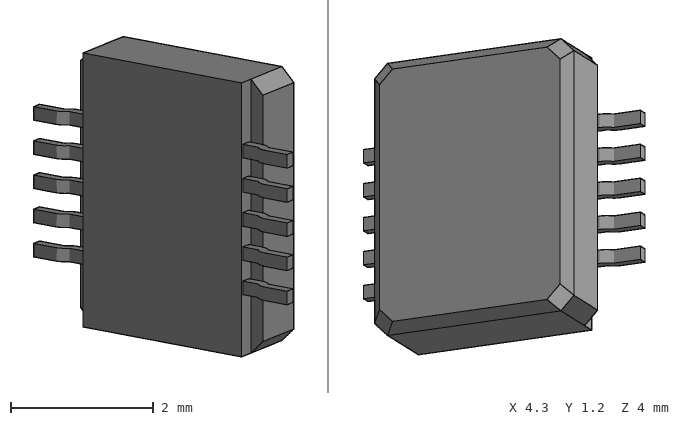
import cadquery as cq
import math

overall_length = 4.3
overall_depth = 1.2
housing_width = 3.095
housing_height = 4.0
housing_depth = 0.92
corner_cut = 0.2
back_bevel = 0.145
core_standoff = 0.047
core_width = housing_width - 2 * corner_cut

leads_per_side = 5
lead_pitch = 0.5
lead_width = 0.198
lead_thickness = 0.15
foot_length = 0.375
bend_length = 0.19
bend_rise = 0.077
small_radius = 0.045
rear_bend_shift = 0.03


def cut_corner_outline(workplane, inset):
    """Housing outline inset on all sides; the corner cuts keep their size."""
    half_width = housing_width / 2 - inset
    half_height = housing_height / 2 - inset
    points = []
    for x_sign, z_sign in ((1, 1), (-1, 1), (-1, -1), (1, -1)):
        side_point = (x_sign * half_width, z_sign * (half_height - corner_cut))
        end_point = (x_sign * (half_width - corner_cut), z_sign * half_height)
        pair = [side_point, end_point]
        points += pair if x_sign == z_sign else pair[::-1]
    return workplane.polyline(points).close()


def make_housing():
    """Corner-cut block whose back edges are bevelled all around."""
    straight_depth = housing_depth - back_bevel
    front_y = overall_depth - housing_depth
    front_plane = cq.Workplane("XZ", origin=(0, front_y, 0))
    straight = cut_corner_outline(front_plane, 0).extrude(-straight_depth)
    bevel_plane = front_plane.workplane(offset=-straight_depth)
    bevel_base = cut_corner_outline(bevel_plane, 0)
    bevel = cut_corner_outline(bevel_base.workplane(offset=-back_bevel), back_bevel).loft(ruled=True)
    return straight.union(bevel)


def make_core():
    """Narrower block that stands proud of the housing front, between the lead rows."""
    core_depth = overall_depth - back_bevel - core_standoff
    return (
        cq.Workplane("XY", origin=(0, core_standoff, 0))
        .box(core_width, core_depth, housing_height, centered=(True, False, True))
    )


def make_lead():
    """Lead on the -X side, centred on Z = 0, running from its tip to the core."""
    tip_x = -overall_length / 2
    core_x = -core_width / 2
    bend_start_x = tip_x + foot_length
    bend_end_x = bend_start_x + bend_length

    bend_angle = 2 * math.atan2(bend_rise, bend_length)
    large_radius = bend_length / math.sin(bend_angle) - small_radius

    def foot_arc(radius, angle, start_y, shift=0):
        x = bend_start_x + shift + radius * math.sin(angle)
        return (x, start_y + radius * (1 - math.cos(angle)))

    def shank_arc(radius, angle, end_y, shift=0):
        x = bend_end_x + shift - radius * math.sin(angle)
        return (x, end_y - radius * (1 - math.cos(angle)))

    half_angle = bend_angle / 2
    shank_rear_y = bend_rise + lead_thickness
    return (
        cq.Workplane("XY", origin=(0, 0, -lead_width / 2))
        .moveTo(tip_x, 0)
        .lineTo(bend_start_x, 0)
        .threePointArc(
            foot_arc(large_radius, half_angle, 0),
            foot_arc(large_radius, bend_angle, 0),
        )
        .threePointArc(
            shank_arc(small_radius, half_angle, bend_rise),
            shank_arc(small_radius, 0, bend_rise),
        )
        .lineTo(core_x, bend_rise)
        .lineTo(core_x, shank_rear_y)
        .lineTo(bend_end_x + rear_bend_shift, shank_rear_y)
        .threePointArc(
            shank_arc(large_radius, half_angle, shank_rear_y, rear_bend_shift),
            shank_arc(large_radius, bend_angle, shank_rear_y, rear_bend_shift),
        )
        .threePointArc(
            foot_arc(small_radius, half_angle, lead_thickness, rear_bend_shift),
            foot_arc(small_radius, 0, lead_thickness, rear_bend_shift),
        )
        .lineTo(tip_x, lead_thickness)
        .close()
        .extrude(lead_width)
    )


result = make_housing().union(make_core())

left_lead = make_lead()
right_lead = left_lead.mirror("YZ")
for index in range(leads_per_side):
    lead_z = (index - (leads_per_side - 1) / 2) * lead_pitch
    for lead in (left_lead, right_lead):
        result = result.union(lead.translate((0, 0, lead_z)))